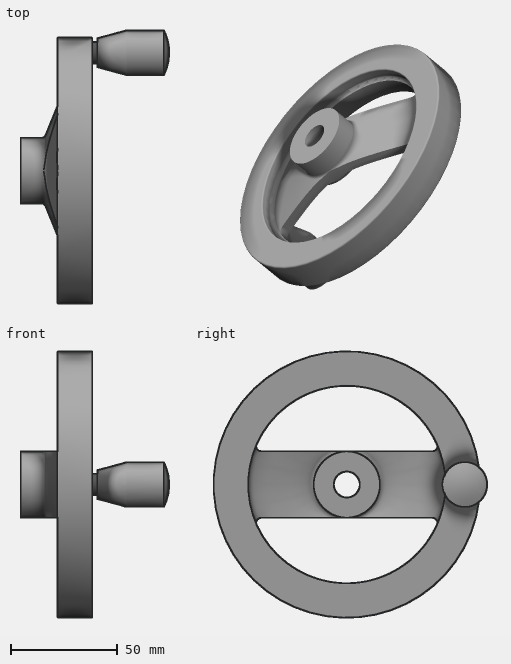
import cadquery as cq
import math


overall_width = 128.3

rim_diameter = 125.0
rim_width = 16.4
rim_bore_diameter = 92.5
recess_diameter = 96.4
recess_depth = 6.5
rim_edge_radius = 0.8
bore_edge_radius = 0.6
recess_root_radius = (recess_diameter - rim_bore_diameter) / 2

hub_diameter = 31.0
hub_front = -17.2
hub_rear = 1.3
hub_root_radius = 1.3
bore_diameter = 12.0

web_thickness = 5.0
web_inner_front = -6.0
web_outer_front = recess_depth
spoke_width = 31.3
spoke_corner_radius = 2.3

grip_diameter = 21.0
grip_root_diameter = 13.6
neck_diameter = 10.1
neck_length = 2.3
taper_length = 13.7
grip_length = 17.5
handle_tip = 52.5
handle_offset = overall_width - rim_diameter / 2 - grip_diameter / 2

rim_bore_radius = rim_bore_diameter / 2
hub_radius = hub_diameter / 2


def revolve_about_x(profile):
    """Turn a closed profile, drawn as (x, radius), around the X axis."""
    return profile.close().revolve(360, (0, 0, 0), (1, 0, 0))


def make_rim():
    """Ring with a shallow front recess that blends into the smaller bore."""
    recess_radius = recess_diameter / 2
    blend = recess_root_radius
    blend_mid = blend * math.sin(math.pi / 4)
    rim = revolve_about_x(
        cq.Workplane("XY")
        .moveTo(0, recess_radius)
        .lineTo(recess_depth - blend, recess_radius)
        .threePointArc(
            (recess_depth - blend + blend_mid, rim_bore_radius + blend_mid),
            (recess_depth, rim_bore_radius),
        )
        .lineTo(rim_width, rim_bore_radius)
        .lineTo(rim_width, rim_diameter / 2)
        .lineTo(0, rim_diameter / 2)
    )
    largest_circle = cq.selectors.RadiusNthSelector(-1)
    smallest_circle = cq.selectors.RadiusNthSelector(0)
    rim = rim.edges("%CIRCLE").edges(largest_circle).fillet(rim_edge_radius)
    for end_face in ("<X", ">X"):
        rim = rim.faces(end_face).edges(smallest_circle).fillet(bore_edge_radius)
    return rim


def make_web_and_hub():
    """Dished web with the hub, filleted where the two meet."""
    profile = (
        cq.Workplane("XY")
        .moveTo(hub_front, 0)
        .lineTo(hub_front, hub_radius)
        .lineTo(web_inner_front, hub_radius)
        .lineTo(web_outer_front, rim_bore_radius)
        .lineTo(web_outer_front + web_thickness, rim_bore_radius)
        .lineTo(web_inner_front + web_thickness, hub_radius)
        .lineTo(hub_rear, hub_radius)
        .lineTo(hub_rear, 0)
    )
    body = revolve_about_x(profile)
    margin = hub_root_radius / 2
    root_box = cq.selectors.BoxSelector(
        (web_inner_front - margin, -hub_diameter, -hub_diameter),
        (web_inner_front + web_thickness + margin, hub_diameter, hub_diameter),
        boundingbox=True,
    )
    return body.edges("%CIRCLE").edges(root_box).fillet(hub_root_radius)


def make_windows():
    """Two segment-shaped openings that leave the spoke band between them."""
    length = rim_width - hub_front
    disc = cq.Workplane("YZ", origin=(hub_front, 0, 0)).circle(rim_bore_radius).extrude(length)
    band = cq.Workplane("YZ", origin=(hub_front, 0, 0)).rect(rim_diameter, spoke_width).extrude(length)
    return disc.cut(band).edges("|X").fillet(spoke_corner_radius)


def make_handle():
    """Neck, tapered grip and domed end, standing on the rear face of the rim."""
    taper_start = rim_width + neck_length
    grip_start = taper_start + taper_length
    grip_end = grip_start + grip_length
    grip_radius = grip_diameter / 2
    dome_height = handle_tip - grip_end
    dome_radius = (grip_radius**2 + dome_height**2) / (2 * dome_height)
    dome_mid_y = grip_radius / 2
    dome_mid_x = handle_tip - dome_radius + math.sqrt(dome_radius**2 - dome_mid_y**2)
    neck_root = rim_width / 2
    handle = revolve_about_x(
        cq.Workplane("XY")
        .moveTo(neck_root, 0)
        .lineTo(neck_root, neck_diameter / 2)
        .lineTo(taper_start, neck_diameter / 2)
        .lineTo(taper_start, grip_root_diameter / 2)
        .lineTo(grip_start, grip_radius)
        .lineTo(grip_end, grip_radius)
        .threePointArc((dome_mid_x, dome_mid_y), (handle_tip, 0))
    )
    return handle.translate((0, handle_offset, 0))


hub_bore = (
    cq.Workplane("YZ", origin=(hub_front, 0, 0))
    .circle(bore_diameter / 2)
    .extrude(hub_rear - hub_front)
)

spokes = make_web_and_hub().cut(make_windows()).cut(hub_bore)
result = make_rim().union(spokes).union(make_handle())